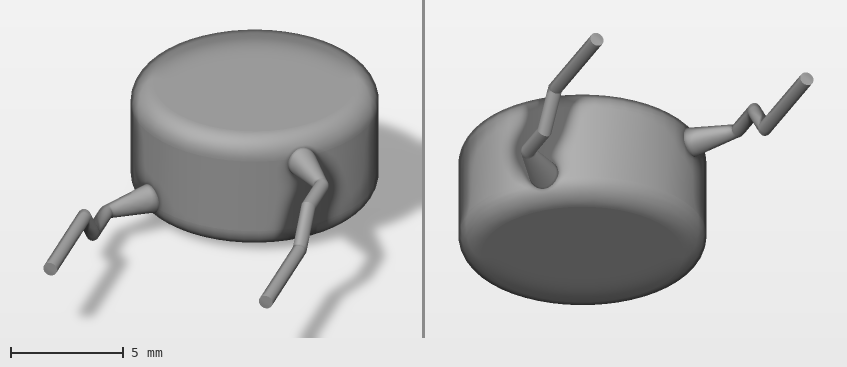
import cadquery as cq
import math

disc_diameter = 11.0
disc_height = 5.5
disc_edge_radius = 0.99
disc_radius = disc_diameter / 2

overall_length = 19.8
lead_diameter = 0.63
lead_spacing = 10.02
lead_exit_height = 1.5
lead_tail_length = 5.0
lead_jog_length = 1.29
elbow_end_y = -6.1
lead_radius = lead_diameter / 2
lead_x = lead_spacing / 2
lead_tip_y = disc_radius - overall_length
jog_end_y = lead_tip_y + lead_tail_length
jog_start_y = jog_end_y + lead_jog_length

cone_axis_angle = 50.0
cone_taper_angle = 9.0
cone_length = 3.17
elbow_angle = 90.0 - cone_axis_angle

elbow_pivot_x = lead_x - lead_radius
cone_tip_x = elbow_pivot_x + lead_radius * math.cos(math.radians(elbow_angle))
cone_tip_y = elbow_end_y + lead_radius * math.sin(math.radians(elbow_angle))


def make_disc():
    """Cylinder with both rims rounded."""
    bottom = cq.Workplane("XY").workplane(offset=-disc_height / 2)
    disc = bottom.circle(disc_radius).extrude(disc_height)
    return disc.faces("|Z").edges().fillet(disc_edge_radius)


def make_lead():
    """Wire on the +X side: an elbow, then a straight run, a slant to the mid plane and a tail."""
    wire_plane = cq.Plane(origin=(lead_x, elbow_end_y, lead_exit_height), xDir=(1, 0, 0), normal=(0, -1, 0))
    center_line = cq.Workplane("YZ", origin=(lead_x, 0, 0)).polyline([
        (elbow_end_y, lead_exit_height),
        (jog_start_y, lead_exit_height),
        (jog_end_y, 0),
        (lead_tip_y, 0),
    ])
    run = cq.Workplane(wire_plane).circle(lead_radius).sweep(center_line, transition="right")
    elbow = cq.Workplane(wire_plane).circle(lead_radius).revolve(
        elbow_angle, (-lead_radius, 0, 0), (-lead_radius, 1, 0)
    )
    return run.union(elbow)


def make_cone(disc):
    """Cone on the +X side, widening toward the disc and trimmed to sit on its surface."""
    inward = cq.Vector(
        -math.cos(math.radians(cone_axis_angle)),
        math.sin(math.radians(cone_axis_angle)),
        0,
    )
    base_radius = lead_radius + cone_length * math.tan(math.radians(cone_taper_angle))
    tip = cq.Vector(cone_tip_x, cone_tip_y, lead_exit_height)
    cone = cq.Solid.makeCone(lead_radius, base_radius, cone_length, tip, inward)
    return cq.Workplane(cone).cut(disc)


disc = make_disc()

leads = []
cones = []
for turn in (0, 180):
    leads.append(make_lead().rotate((0, 0, 0), (0, 1, 0), turn).solids().val())
    cones.append(make_cone(disc).rotate((0, 0, 0), (0, 1, 0), turn).solids().val())

result = cq.Compound.makeCompound([disc.solids().val(), *leads, *cones])